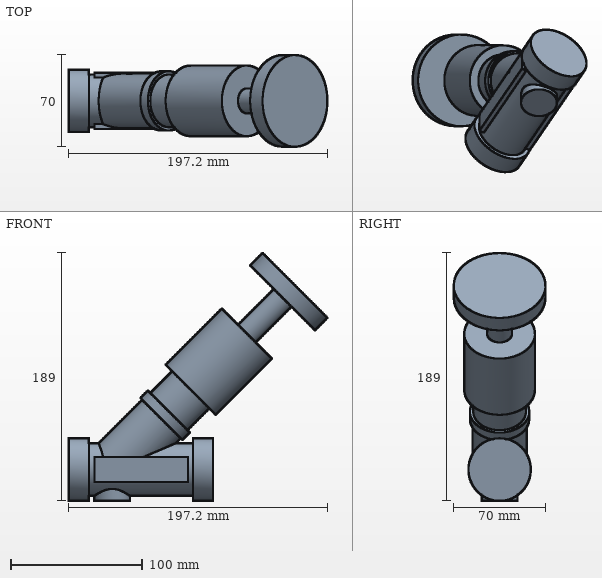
import cadquery as cq
import math

body_length = 110.0
pipe_diameter = 40.2
flange_diameter = 47.7
flange_thickness = 15.4
body_left = -body_length / 2
body_right = body_length / 2

pad_start = body_left + 19.5
pad_length = 71.5
pad_height = 19.1
pad_span = 43.2

boss_diameter = 27.5
boss_x = -21.9

branch_x = -22.9
branch_angle = math.radians(45)

branch_stack = [
    (41.6, 54.5),
    (45.4, 8.0),
    (40.2, 23.5),
    (54.0, 60.5),
    (19.1, 38.5),
    (70.0, 13.5),
]


def cylinder(diameter, length, start, direction):
    return cq.Workplane(cq.Solid.makeCylinder(diameter / 2, length, start, direction))


def run_pipe():
    along_x = cq.Vector(1, 0, 0)
    left_end = cq.Vector(body_left, 0, 0)
    right_flange_start = cq.Vector(body_right - flange_thickness, 0, 0)
    pipe = cylinder(pipe_diameter, body_length, left_end, along_x)
    left_flange = cylinder(flange_diameter, flange_thickness, left_end, along_x)
    right_flange = cylinder(flange_diameter, flange_thickness, right_flange_start, along_x)
    return pipe.union(left_flange).union(right_flange)


def side_pads():
    bar = cq.Workplane("XY").box(pad_length, pad_span, pad_height)
    return bar.translate((pad_start + pad_length / 2, 0, 0))


def drain_boss():
    return cylinder(boss_diameter, flange_diameter / 2, cq.Vector(boss_x, 0, 0), cq.Vector(0, 0, -1))


def branch():
    direction = cq.Vector(math.cos(branch_angle), 0, math.sin(branch_angle))
    start = cq.Vector(branch_x, 0, 0)
    stack = cq.Workplane()
    for diameter, length in branch_stack:
        stack = stack.add(cylinder(diameter, length, start, direction))
        start = start + direction * length
    return stack.combine()


result = run_pipe().union(side_pads()).union(drain_boss()).union(branch())